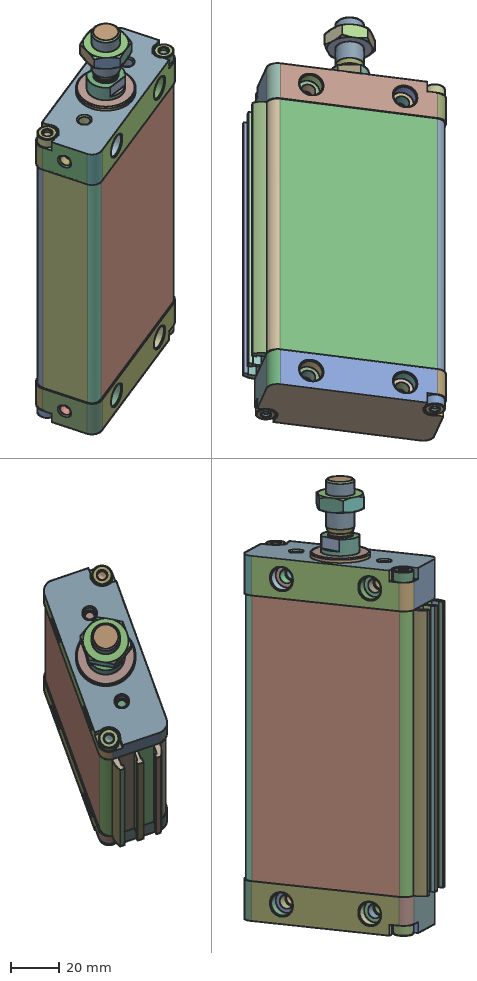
import cadquery as cq
import math

TOTAL_HEIGHT = 189.0

CAP_WIDTH = 30.0
CAP_FRONT_Y = -38.5
CAP_BACK_Y = 38.0
CAP_HEIGHT = 17.0
CORNER_RADIUS = 4.7
FRONT_CAP_TOP = 156.1
FRONT_CAP_BOTTOM = FRONT_CAP_TOP - CAP_HEIGHT

BARREL_STEP = 0.5
BARREL_LENGTH = FRONT_CAP_BOTTOM - CAP_HEIGHT
BARREL_FRONT_Y = CAP_FRONT_Y + BARREL_STEP
BARREL_BACK_Y = CAP_BACK_Y

RAIL_ROOT_Y = BARREL_BACK_Y - CORNER_RADIUS
RAIL_TIP_Y = 43.5
RAIL_LIP_Y = 41.5
SIDE_RAIL_OUTER_X = 10.5
SIDE_RAIL_INNER_X = 7.7
SIDE_RAIL_TIP_OUTER_X = 8.9
SIDE_RAIL_TIP_INNER_X = 7.0
MIDDLE_RAIL_HALF_STEM = 0.8
MIDDLE_RAIL_HALF_HEAD = 1.3

FLANGE_DIAMETER = 25.0
FLANGE_HEIGHT = 1.9
FLANGE_CHAMFER = 0.5

MOUNT_SPACING = 40.0
MOUNT_MOUTH_DIAMETER = 10.5
MOUNT_RECESS_DIAMETER = 9.6
MOUNT_RECESS_DEPTH = 5.1
MOUNT_THREAD_DIAMETER = 6.0
MOUNT_THREAD_END = 10.5
MOUNT_BORE_DIAMETER = 5.0

THREAD_MOUTH_DIAMETER = 6.2
THREAD_DIAMETER = 5.0
THREAD_DEPTH = 4.7
CORE_DIAMETER = 4.0
CORE_DEPTH = 5.7

HEAD_DIAMETER = 8.5
HEAD_POCKET_DIAMETER = 9.6
HEAD_POCKET_HALF_WIDTH = 4.3
HEAD_POCKET_DEPTH = 4.7
HEAD_DROP = 0.2
HEAD_CHAMFER = 0.4
SOCKET_MOUTH_DIAMETER = 4.5
SOCKET_DIAMETER = 4.0
SOCKET_DEPTH = 1.5
SOCKET_TIP_DEPTH = 1.1

ROD_DIAMETER = 16.0
ROD_SHOULDER_Z = 165.0
ROD_FLAT_BOTTOM_Z = 159.9
ROD_FLAT_WIDTH = 13.0
ROD_FLAT_ANGLE = -15.0
THREAD_END_Z = 168.8
GROOVE_TOP_Z = 166.7
GROOVE_DIAMETER = 10.0
GROOVE_SHOULDER_DIAMETER = 10.5
GROOVE_FLARE = 0.5
ROD_THREAD_DIAMETER = 12.0
ROD_TIP_CHAMFER = 0.8

NUT_SIDES = 6
NUT_TURN = 30.0
NUT_WIDTH = 18.7
NUT_BOTTOM_Z = 176.7
NUT_HEIGHT = 6.2
NUT_FACE_DIAMETER = 18.9
NUT_CHAMFER_ANGLE = 30.0


def rounded_block(width, front_y, back_y, bottom_z, height, front_radius, back_radius):
    """Upright block centred on X = 0 with rounded vertical edges."""
    return (
        cq.Workplane("XY", origin=(0, (front_y + back_y) / 2, bottom_z))
        .rect(width, back_y - front_y)
        .extrude(height)
        .faces("<Y")
        .edges("|Z")
        .fillet(front_radius)
        .faces(">Y")
        .edges("|Z")
        .fillet(back_radius)
    )


def drill(start, direction, diameter, depth):
    """Cylinder to be cut away, running from the start point along the direction."""
    return cq.Workplane(cq.Solid.makeCylinder(diameter / 2, depth, cq.Vector(*start), cq.Vector(*direction)))


def countersink(start, direction, mouth_diameter, hole_diameter):
    """45-degree cone that narrows from the mouth to the hole."""
    depth = (mouth_diameter - hole_diameter) / 2
    return cq.Workplane(
        cq.Solid.makeCone(
            mouth_diameter / 2, hole_diameter / 2, depth, cq.Vector(*start), cq.Vector(*direction)
        )
    )


def threaded_hole(start, direction):
    """Countersunk blind thread with a narrower core hole below it."""
    mouth = countersink(start, direction, THREAD_MOUTH_DIAMETER, THREAD_DIAMETER)
    thread = drill(start, direction, THREAD_DIAMETER, THREAD_DEPTH)
    core = drill(start, direction, CORE_DIAMETER, CORE_DEPTH)
    return mouth.union(thread).union(core)


def mounting_hole(y, z):
    """Hole through the cap along X, recessed on the -X and +X sides."""
    side_x = CAP_WIDTH / 2
    hole = drill((-side_x, y, z), (1, 0, 0), MOUNT_BORE_DIAMETER, CAP_WIDTH)
    for side in (-1, 1):
        start = (side * side_x, y, z)
        inward = (-side, 0, 0)
        hole = hole.union(drill(start, inward, MOUNT_RECESS_DIAMETER, MOUNT_RECESS_DEPTH))
        hole = hole.union(countersink(start, inward, MOUNT_MOUTH_DIAMETER, MOUNT_RECESS_DIAMETER))
        hole = hole.union(drill(start, inward, MOUNT_THREAD_DIAMETER, MOUNT_THREAD_END))
    return hole


def head_pocket(corner_x, corner_y, top_z):
    """Pocket open to both sides of a corner, rounded around the screw axis."""
    side_x = math.copysign(1, corner_x)
    side_y = math.copysign(1, corner_y)
    axis_x = corner_x - side_x * CORNER_RADIUS
    axis_y = corner_y - side_y * CORNER_RADIUS
    floor_z = top_z - HEAD_POCKET_DEPTH
    reach = 2 * CORNER_RADIUS
    pocket = drill((axis_x, axis_y, floor_z), (0, 0, 1), HEAD_POCKET_DIAMETER, HEAD_POCKET_DEPTH)
    along_x = (
        cq.Workplane("XY", origin=(axis_x + side_x * reach / 2, axis_y, floor_z))
        .rect(reach, 2 * HEAD_POCKET_HALF_WIDTH)
        .extrude(HEAD_POCKET_DEPTH)
    )
    along_y = (
        cq.Workplane("XY", origin=(axis_x, axis_y + side_y * reach / 2, floor_z))
        .rect(2 * HEAD_POCKET_HALF_WIDTH, reach)
        .extrude(HEAD_POCKET_DEPTH)
    )
    return pocket.union(along_x).union(along_y)


def screw_head(corner_x, corner_y, top_z):
    """Chamfered round head with a conical-bottomed socket, standing on the pocket floor."""
    axis_x = corner_x - math.copysign(CORNER_RADIUS, corner_x)
    axis_y = corner_y - math.copysign(CORNER_RADIUS, corner_y)
    height = HEAD_POCKET_DEPTH - HEAD_DROP
    countersink_depth = (SOCKET_MOUTH_DIAMETER - SOCKET_DIAMETER) / 2
    socket_floor = height - SOCKET_DEPTH
    profile = [
        (0, 0),
        (HEAD_DIAMETER / 2, 0),
        (HEAD_DIAMETER / 2, height - HEAD_CHAMFER),
        (HEAD_DIAMETER / 2 - HEAD_CHAMFER, height),
        (SOCKET_MOUTH_DIAMETER / 2, height),
        (SOCKET_DIAMETER / 2, height - countersink_depth),
        (SOCKET_DIAMETER / 2, socket_floor),
        (0, socket_floor - SOCKET_TIP_DEPTH),
    ]
    head = cq.Workplane("XZ").polyline(profile).close().revolve(360, (0, 0), (0, 1))
    return head.translate((axis_x, axis_y, top_z - HEAD_POCKET_DEPTH))


def make_cap():
    """Cap standing on Z = 0 with its outer face up, without features of one end only."""
    cap = rounded_block(
        CAP_WIDTH,
        CAP_FRONT_Y,
        CAP_BACK_Y,
        0,
        CAP_HEIGHT,
        CORNER_RADIUS,
        CORNER_RADIUS,
    )
    middle_z = CAP_HEIGHT / 2
    for y in (-MOUNT_SPACING / 2, MOUNT_SPACING / 2):
        cap = cap.cut(mounting_hole(y, middle_z))
    cap = cap.cut(threaded_hole((0, CAP_FRONT_Y, middle_z), (0, 1, 0)))
    for corner in ((-CAP_WIDTH / 2, CAP_FRONT_Y), (CAP_WIDTH / 2, CAP_BACK_Y)):
        cap = cap.cut(head_pocket(*corner, CAP_HEIGHT))
        cap = cap.union(screw_head(*corner, CAP_HEIGHT))
    return cap


def make_front_cap():
    """Cap with the bearing flange, the rod hole and two fixing holes."""
    cap = make_cap()
    flange = (
        cq.Workplane("XY", origin=(0, 0, CAP_HEIGHT))
        .circle(FLANGE_DIAMETER / 2)
        .extrude(FLANGE_HEIGHT)
        .faces(">Z")
        .chamfer(FLANGE_CHAMFER)
    )
    cap = cap.union(flange)
    cap = cap.cut(drill((0, 0, 0), (0, 0, 1), ROD_DIAMETER, CAP_HEIGHT + FLANGE_HEIGHT))
    for y in (-MOUNT_SPACING / 2, MOUNT_SPACING / 2):
        cap = cap.cut(threaded_hole((0, y, CAP_HEIGHT), (0, 0, -1)))
    return cap.translate((0, 0, FRONT_CAP_BOTTOM))


def make_rear_cap():
    """Cap turned over so that its outer face is at Z = 0."""
    return make_cap().mirror("XY").translate((0, 0, CAP_HEIGHT))


def side_rail(side):
    """Hooked rail with a curved outer flank and a lip towards the middle."""
    return (
        cq.Workplane("XY", origin=(0, 0, CAP_HEIGHT))
        .moveTo(side * SIDE_RAIL_INNER_X, RAIL_ROOT_Y)
        .lineTo(side * SIDE_RAIL_OUTER_X, RAIL_ROOT_Y)
        .lineTo(side * SIDE_RAIL_OUTER_X, BARREL_BACK_Y)
        .tangentArcPoint((side * SIDE_RAIL_TIP_OUTER_X, RAIL_TIP_Y), relative=False)
        .lineTo(side * SIDE_RAIL_TIP_INNER_X, RAIL_TIP_Y)
        .lineTo(side * SIDE_RAIL_TIP_INNER_X, RAIL_LIP_Y)
        .lineTo(side * SIDE_RAIL_INNER_X, RAIL_LIP_Y)
        .close()
        .extrude(BARREL_LENGTH)
    )


def middle_rail():
    """T-shaped rail."""
    half_outline = [
        (0, RAIL_ROOT_Y),
        (MIDDLE_RAIL_HALF_STEM, RAIL_ROOT_Y),
        (MIDDLE_RAIL_HALF_STEM, RAIL_LIP_Y),
        (MIDDLE_RAIL_HALF_HEAD, RAIL_LIP_Y),
        (MIDDLE_RAIL_HALF_HEAD, RAIL_TIP_Y),
        (0, RAIL_TIP_Y),
    ]
    return (
        cq.Workplane("XY", origin=(0, 0, CAP_HEIGHT)).polyline(half_outline).mirrorY().extrude(BARREL_LENGTH)
    )


def make_barrel():
    """Rounded block between the caps with three rails along its back."""
    barrel = rounded_block(
        CAP_WIDTH - 2 * BARREL_STEP,
        BARREL_FRONT_Y,
        BARREL_BACK_Y,
        CAP_HEIGHT,
        BARREL_LENGTH,
        CORNER_RADIUS - BARREL_STEP,
        CORNER_RADIUS,
    )
    for side in (-1, 1):
        barrel = barrel.union(side_rail(side))
    return barrel.union(middle_rail())


def make_rod():
    """Turned rod with a necked thread and two wrench flats, ending at the barrel."""
    profile = [
        (0, FRONT_CAP_BOTTOM),
        (ROD_DIAMETER / 2, FRONT_CAP_BOTTOM),
        (ROD_DIAMETER / 2, ROD_SHOULDER_Z),
        (GROOVE_SHOULDER_DIAMETER / 2, ROD_SHOULDER_Z),
        (GROOVE_DIAMETER / 2, ROD_SHOULDER_Z + GROOVE_FLARE),
        (GROOVE_DIAMETER / 2, GROOVE_TOP_Z),
        (GROOVE_SHOULDER_DIAMETER / 2, GROOVE_TOP_Z),
        (ROD_THREAD_DIAMETER / 2, THREAD_END_Z),
        (ROD_THREAD_DIAMETER / 2, TOTAL_HEIGHT - ROD_TIP_CHAMFER),
        (ROD_THREAD_DIAMETER / 2 - ROD_TIP_CHAMFER, TOTAL_HEIGHT),
        (0, TOTAL_HEIGHT),
    ]
    rod = cq.Workplane("XZ").polyline(profile).close().revolve(360, (0, 0), (0, 1))
    flat_height = ROD_SHOULDER_Z - ROD_FLAT_BOTTOM_Z
    flats = (
        cq.Workplane("XY", origin=(0, 0, ROD_FLAT_BOTTOM_Z))
        .circle(ROD_DIAMETER)
        .extrude(flat_height)
        .cut(
            cq.Workplane("XY", origin=(0, 0, ROD_FLAT_BOTTOM_Z))
            .rect(ROD_FLAT_WIDTH, 2 * ROD_DIAMETER)
            .extrude(flat_height)
        )
        .rotate((0, 0, 0), (0, 0, 1), ROD_FLAT_ANGLE)
    )
    return rod.cut(flats)


def make_nut():
    """Hexagon nut with corners along Y, its corners chamfered at both faces."""
    corner_diameter = NUT_WIDTH / math.cos(math.pi / NUT_SIDES)
    chamfer_height = (corner_diameter - NUT_FACE_DIAMETER) / 2 * math.tan(math.radians(NUT_CHAMFER_ANGLE))
    hexagon = (
        cq.Workplane("XY")
        .polygon(NUT_SIDES, corner_diameter)
        .extrude(NUT_HEIGHT)
        .rotate((0, 0, 0), (0, 0, 1), NUT_TURN)
    )
    envelope_profile = [
        (ROD_THREAD_DIAMETER / 2, 0),
        (NUT_FACE_DIAMETER / 2, 0),
        (corner_diameter / 2, chamfer_height),
        (corner_diameter / 2, NUT_HEIGHT - chamfer_height),
        (NUT_FACE_DIAMETER / 2, NUT_HEIGHT),
        (ROD_THREAD_DIAMETER / 2, NUT_HEIGHT),
    ]
    envelope = cq.Workplane("XZ").polyline(envelope_profile).close().revolve(360, (0, 0), (0, 1))
    return hexagon.intersect(envelope).translate((0, 0, NUT_BOTTOM_Z))


front_cap = make_front_cap()
rear_cap = make_rear_cap()
barrel = make_barrel()
rod = make_rod()
nut = make_nut()

result = cq.Compound.makeCompound([front_cap.val(), rear_cap.val(), barrel.val(), rod.val(), nut.val()])